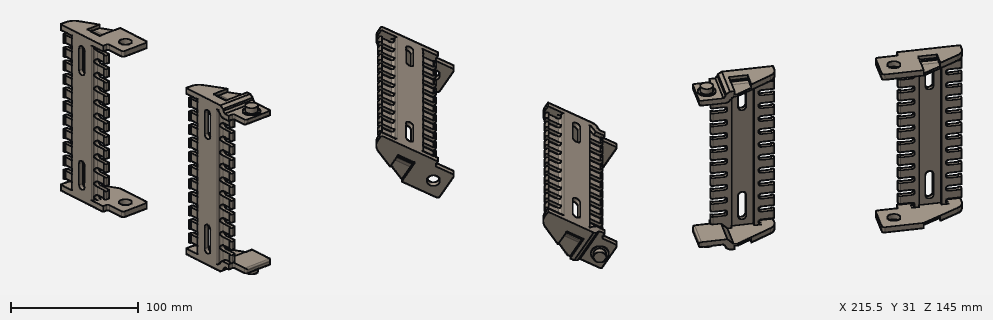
import cadquery as cq
import math

HEIGHT = 145.0
DEPTH = 31.0
ARM_THICKNESS = 5.0
FRAME_WIDTH = 51.0
FRAME_PITCH = 150.0

STEP_DEPTH = 5.0
STEP_FILLET = 1.5
NOSE_RADIUS = 10.0
HOLE_SLOPE_ANGLE = 28.5
PIN_SLOPE_ANGLE = 30.0
TIP_FRONT_RADIUS = 2.0
HOLE_TIP_BACK_RADIUS = 2.0
PIN_TIP_BACK_RADIUS = 1.2
HOLE_ARM_REACH = 69.0
PIN_ARM_REACH = 65.5
HOLE_SLOPE_END = 35.8
PIN_SLOPE_END = 34.8
FRONT_EDGE_RADIUS = 1.0

POCKET_LENGTH = 15.0
POCKET_DEPTH = 3.0
RAMP_RISE = 0.6
HOLE_POCKET_X = 20.8
HOLE_POCKET_LEVELS = (9.9, 13.3, 13.9, 17.1)
PIN_POCKET_X = 22.3
PIN_POCKET_LEVELS = (9.3, 11.9, 13.2, 15.8)

SHEET = 3.5
SPINE_WALL = 4.0
COMB_BACK = 7.0
SPINE_SIDE = 13.0
ROOT_RADIUS = 2.0
FINGER_NOSE = 1.0
FINGER_NOSE_WIDTH = 2.2
FINGER_BACK_RADIUS = 1.5

FINGER_COUNT = 11
FINGER_HEIGHT = 7.2
GAP_COUNT = FINGER_COUNT + 1
COMB_HEIGHT = HEIGHT - 2 * ARM_THICKNESS
GAP = (COMB_HEIGHT - FINGER_COUNT * FINGER_HEIGHT) / GAP_COUNT
FINGER_PITCH = FINGER_HEIGHT + GAP

SLOT_WIDTH = 6.5
SLOT_LENGTH = 25.0
SLOT_SPACING = 100.0

HOLE_DIAMETER = 10.2
HOLE_X = 57.0
PIN_DIAMETER = 10.1
PIN_X = 57.0
HOLE_Y = 18.0
PIN_Y = 18.5
COLLAR_DIAMETER = 14.0
COLLAR_HEIGHT = 0.6

PIN_ARM_TOP = 5.4
PIN_ARM_BOTTOM = 2 * ARM_THICKNESS
CRANK_TOP = ((41.0, 0.0), (44.1, 2.0), (44.6, 3.5), (46.2, PIN_ARM_TOP))
CRANK_BOTTOM_START = 38.0
CRANK_BOTTOM_END = CRANK_BOTTOM_START + PIN_ARM_BOTTOM - ARM_THICKNESS
PIN_ARM_EDGE_RADIUS = 1.5

MID_X = FRAME_WIDTH / 2
MID_Z = HEIGHT / 2


def mirror_in_height(shape):
    return shape.mirror("XY", (0, 0, MID_Z))


def mirror_in_width(shape):
    return shape.mirror("YZ", (MID_X, 0, 0))


def box(x0, x1, y0, y1, z0, z1):
    return cq.Workplane("XY").box(x1 - x0, y1 - y0, z1 - z0, centered=False).translate((x0, y0, z0))


def arm_blank(reach, slope_end, slope_angle, tip_back_radius, thickness):
    """Arm plan filling the given thickness below the top of the frame."""
    slope_foot = DEPTH - slope_end * math.tan(math.radians(slope_angle))
    plate = (
        cq.Workplane("XY")
        .workplane(offset=HEIGHT - thickness)
        .moveTo(0, 0)
        .lineTo(FRAME_WIDTH, 0)
        .lineTo(FRAME_WIDTH, STEP_DEPTH)
        .lineTo(reach, STEP_DEPTH)
        .lineTo(reach, DEPTH)
        .lineTo(slope_end, DEPTH)
        .lineTo(0, slope_foot)
        .close()
        .extrude(thickness)
    )
    plate = plate.edges("|Z and >X").edges(">Y").fillet(tip_back_radius)
    tip_corner = cq.selectors.NearestToPointSelector((reach, STEP_DEPTH, HEIGHT - thickness / 2))
    plate = plate.edges(tip_corner).fillet(TIP_FRONT_RADIUS)
    step_corner = cq.selectors.NearestToPointSelector((FRAME_WIDTH, STEP_DEPTH, HEIGHT - thickness / 2))
    plate = plate.edges(step_corner).fillet(STEP_FILLET)
    nose_corner = cq.selectors.NearestToPointSelector((0, slope_foot, HEIGHT - thickness / 2))
    return plate.edges(nose_corner).fillet(NOSE_RADIUS)


def latch_pocket(x_start, levels):
    """Pocket open to the back, with a low ramped ridge standing on its floor."""
    wall, ridge_front, ridge_back, ramp_foot = levels
    floor = HEIGHT - POCKET_DEPTH
    return (
        cq.Workplane("YZ")
        .workplane(offset=x_start)
        .moveTo(wall, HEIGHT)
        .lineTo(wall, floor)
        .lineTo(ridge_front, floor)
        .lineTo(ridge_front, floor + RAMP_RISE)
        .lineTo(ridge_back, floor + RAMP_RISE)
        .lineTo(ramp_foot, floor)
        .lineTo(DEPTH, floor)
        .lineTo(DEPTH, HEIGHT)
        .close()
        .extrude(POCKET_LENGTH)
    )


def hole_arm():
    arm = arm_blank(HOLE_ARM_REACH, HOLE_SLOPE_END, HOLE_SLOPE_ANGLE, HOLE_TIP_BACK_RADIUS, ARM_THICKNESS)
    arm = arm.edges("|Z and <X and <Y").fillet(FRONT_EDGE_RADIUS)
    hole = (
        cq.Workplane("XY")
        .center(HOLE_X, HOLE_Y)
        .circle(HOLE_DIAMETER / 2)
        .extrude(HEIGHT)
    )
    return arm.cut(hole).cut(latch_pocket(HOLE_POCKET_X, HOLE_POCKET_LEVELS))


def pin_arm():
    """Arm cranked inward beyond the spine, carrying a collar and a pin."""
    blank = arm_blank(PIN_ARM_REACH, PIN_SLOPE_END, PIN_SLOPE_ANGLE, PIN_TIP_BACK_RADIUS, PIN_ARM_BOTTOM)
    crank_points = [(0, HEIGHT)]
    crank_points += [(x, HEIGHT - drop) for x, drop in CRANK_TOP]
    crank_points += [
        (PIN_ARM_REACH, HEIGHT - PIN_ARM_TOP),
        (PIN_ARM_REACH, HEIGHT - PIN_ARM_BOTTOM),
        (CRANK_BOTTOM_END, HEIGHT - PIN_ARM_BOTTOM),
        (CRANK_BOTTOM_START, HEIGHT - ARM_THICKNESS),
        (0, HEIGHT - ARM_THICKNESS),
    ]
    crank = cq.Workplane("XZ").polyline(crank_points).close().extrude(-DEPTH)
    crank = crank.edges("|Y and >X and <Z").fillet(PIN_ARM_EDGE_RADIUS)
    arm = blank.intersect(crank).cut(latch_pocket(PIN_POCKET_X, PIN_POCKET_LEVELS))
    seat = cq.Workplane("XY").workplane(offset=HEIGHT - PIN_ARM_TOP).center(PIN_X, PIN_Y)
    collar = seat.circle(COLLAR_DIAMETER / 2).extrude(COLLAR_HEIGHT)
    pin = seat.circle(PIN_DIAMETER / 2).extrude(PIN_ARM_TOP)
    return arm.union(collar).union(pin)


def half_section():
    """Half of the spine and one comb, as a solid bar between the two arms."""
    nose_front = SHEET - FINGER_NOSE
    diagonal = math.sqrt(0.5)
    root_x = SPINE_SIDE - ROOT_RADIUS
    root_y = SHEET - ROOT_RADIUS
    edge = FRONT_EDGE_RADIUS
    edge_x = SPINE_SIDE + edge
    back = FINGER_BACK_RADIUS
    back_y = COMB_BACK - back
    return (
        cq.Workplane("XY")
        .workplane(offset=ARM_THICKNESS)
        .moveTo(0, SHEET)
        .threePointArc(
            (FINGER_NOSE * (1 - diagonal), SHEET - FINGER_NOSE * diagonal),
            (FINGER_NOSE, nose_front),
        )
        .lineTo(FINGER_NOSE_WIDTH, nose_front)
        .lineTo(FINGER_NOSE_WIDTH, SHEET)
        .lineTo(root_x, SHEET)
        .threePointArc(
            (root_x + ROOT_RADIUS * diagonal, root_y + ROOT_RADIUS * diagonal),
            (SPINE_SIDE, root_y),
        )
        .lineTo(SPINE_SIDE, edge)
        .threePointArc((edge_x - edge * diagonal, edge - edge * diagonal), (edge_x, 0))
        .lineTo(MID_X, 0)
        .lineTo(MID_X, SPINE_WALL)
        .lineTo(SPINE_SIDE + SHEET, SPINE_WALL)
        .lineTo(SPINE_SIDE + SHEET, COMB_BACK)
        .lineTo(back, COMB_BACK)
        .threePointArc((back - back * diagonal, back_y + back * diagonal), (0, back_y))
        .close()
        .extrude(COMB_HEIGHT)
    )


def comb_gaps(first, last):
    """Round-ended gaps of the left comb, numbered upward from the lower arm."""
    straight = SPINE_SIDE - GAP / 2
    gaps = cq.Workplane("XY")
    for index in range(first, last + 1):
        z = ARM_THICKNESS + GAP / 2 + index * FINGER_PITCH
        gaps = gaps.add(box(0, straight, 0, COMB_BACK, z - GAP / 2, z + GAP / 2))
        gaps = gaps.add(cq.Workplane("XZ").center(straight, z).circle(GAP / 2).extrude(-COMB_BACK))
    return gaps.combine()


def mounting_slots():
    return (
        cq.Workplane("XZ")
        .pushPoints([(MID_X, MID_Z - SLOT_SPACING / 2), (MID_X, MID_Z + SLOT_SPACING / 2)])
        .slot2D(SLOT_LENGTH, SLOT_WIDTH, 90)
        .extrude(-COMB_BACK)
    )


def full_comb():
    return half_section().cut(comb_gaps(0, GAP_COUNT - 1))


def pin_side_comb():
    """Left-handed comb, mirrored later, whose end fingers run on into the cranked arms."""
    comb = half_section().cut(comb_gaps(1, GAP_COUNT - 2))
    buried = (PIN_ARM_BOTTOM + PIN_ARM_TOP) / 2
    web_start = FRAME_WIDTH - CRANK_BOTTOM_END
    above_arm = box(0, web_start, 0, COMB_BACK, HEIGHT - buried, HEIGHT)
    return comb.cut(above_arm).cut(mirror_in_height(above_arm))


def frame(left_comb, right_comb, arm):
    body = left_comb.union(mirror_in_width(right_comb)).cut(mounting_slots())
    return body.union(arm).union(mirror_in_height(arm))


hole_frame = frame(full_comb(), full_comb(), hole_arm())
pin_frame = frame(full_comb(), pin_side_comb(), pin_arm()).translate((FRAME_PITCH, 0, 0))

result = cq.Compound.makeCompound([hole_frame.val(), pin_frame.val()])